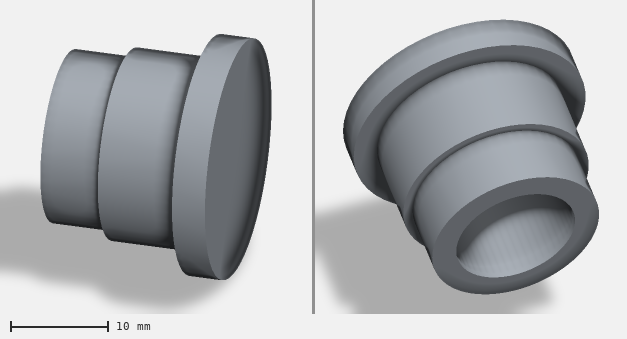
import cadquery as cq

spigot_diameter = 18.0
spigot_length = 6.4
body_diameter = 20.0
body_length = 8.6
flange_diameter = 25.0
flange_length = 3.5
bore_diameter = 12.8

bore_depth = spigot_length + body_length
total_length = spigot_length + body_length + flange_length
spigot_face_x = -total_length / 2


def cylinder_along_x(start_x, diameter, length):
    return (
        cq.Workplane("YZ", origin=(start_x, 0, 0))
        .circle(diameter / 2)
        .extrude(length)
    )


body_start_x = spigot_face_x + spigot_length
flange_start_x = body_start_x + body_length

spigot = cylinder_along_x(spigot_face_x, spigot_diameter, spigot_length)
body = cylinder_along_x(body_start_x, body_diameter, body_length)
flange = cylinder_along_x(flange_start_x, flange_diameter, flange_length)
bore = cylinder_along_x(spigot_face_x, bore_diameter, bore_depth)

result = spigot.union(body).union(flange).cut(bore)